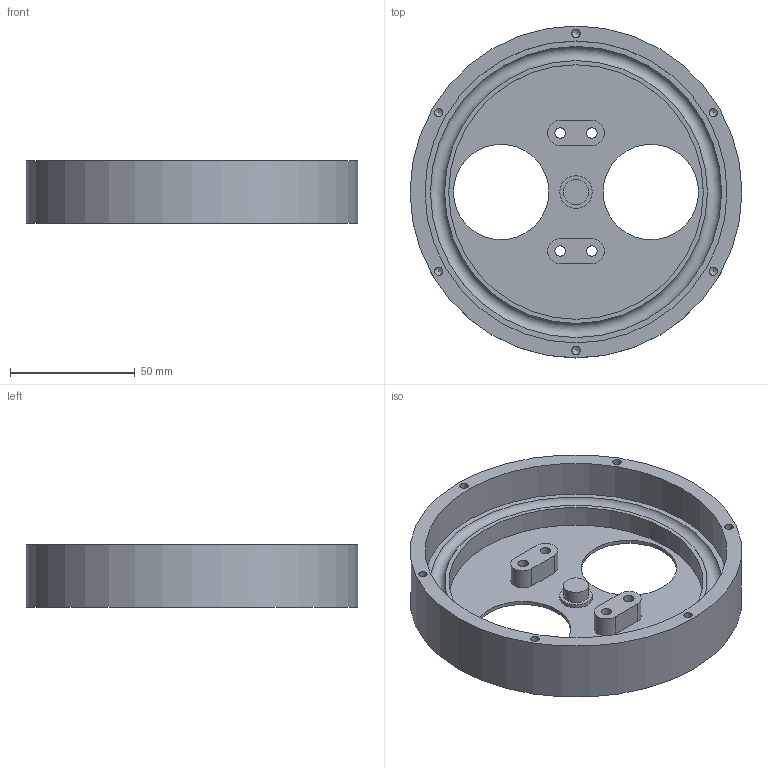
import cadquery as cq
import math

outer_diameter = 133.0
housing_height = 25.0
upper_bore_diameter = 121.0
lower_bore_diameter = 102.0
ledge_height = 10.0
floor_thickness = 1.5

groove_circle_radius = 55.5
groove_section_radius = 3.0
groove_depth = 2.0

rim_hole_count = 6
rim_hole_diameter = 3.33
rim_hole_circle_radius = 63.5
rim_hole_depth = 10.0
drill_point_angle = 118.0
first_rim_hole_angle = 90.0

window_diameter = 38.2
window_offset = 30.0

block_width = 10.0
block_hole_spacing = 12.7
block_hole_diameter = 4.2
block_offset = 23.65
block_height = ledge_height - floor_thickness

pin_base_diameter = 13.0
pin_base_height = 1.5
pin_diameter = 10.0
pin_height = 6.5


def make_housing():
    """Round cup with a wide upper bore, a ledge and a narrower lower bore."""
    body = cq.Workplane("XY").circle(outer_diameter / 2).extrude(housing_height)
    upper_bore = (
        cq.Workplane("XY", origin=(0, 0, ledge_height))
        .circle(upper_bore_diameter / 2)
        .extrude(housing_height - ledge_height)
    )
    lower_bore = (
        cq.Workplane("XY", origin=(0, 0, floor_thickness))
        .circle(lower_bore_diameter / 2)
        .extrude(ledge_height - floor_thickness)
    )
    return body.cut(upper_bore).cut(lower_bore)


def make_ring_groove():
    """Torus sunk into the ledge, its section centre lying above the ledge surface."""
    section_centre_height = ledge_height + groove_section_radius - groove_depth
    return (
        cq.Workplane("XZ")
        .center(groove_circle_radius, section_centre_height)
        .circle(groove_section_radius)
        .revolve(360, (-groove_circle_radius, 0, 0), (-groove_circle_radius, 1, 0))
    )


def make_rim_hole(angle):
    """Drilled hole with a conical bottom, opening at the top of the rim."""
    radius = rim_hole_diameter / 2
    point_length = radius / math.tan(math.radians(drill_point_angle / 2))
    bottom = housing_height - rim_hole_depth
    hole = (
        cq.Workplane("XZ")
        .moveTo(0, housing_height)
        .lineTo(radius, housing_height)
        .lineTo(radius, bottom)
        .lineTo(0, bottom - point_length)
        .close()
        .revolve(360, (0, 0, 0), (0, 1, 0))
    )
    return hole.translate((rim_hole_circle_radius, 0, 0)).rotate((0, 0, 0), (0, 0, 1), angle)


def make_windows():
    """Two large round openings through the floor, either side of the pin."""
    return (
        cq.Workplane("XY")
        .pushPoints([(-window_offset, 0), (window_offset, 0)])
        .circle(window_diameter / 2)
        .extrude(floor_thickness)
    )


def make_block(y):
    """Round-ended block rising from the floor."""
    return (
        cq.Workplane("XY")
        .center(0, y)
        .slot2D(block_hole_spacing + block_width, block_width)
        .extrude(floor_thickness + block_height)
    )


def make_block_holes(y):
    """Pair of holes through a block and the floor below it."""
    half_spacing = block_hole_spacing / 2
    return (
        cq.Workplane("XY")
        .pushPoints([(-half_spacing, y), (half_spacing, y)])
        .circle(block_hole_diameter / 2)
        .extrude(floor_thickness + block_height)
    )


def make_pin():
    """Centre pin with a wider base collar."""
    base = cq.Workplane("XY").circle(pin_base_diameter / 2).extrude(floor_thickness + pin_base_height)
    shaft = cq.Workplane("XY").circle(pin_diameter / 2).extrude(floor_thickness + pin_height)
    return base.union(shaft)


result = make_housing().cut(make_ring_groove()).cut(make_windows()).union(make_pin())
for block_y in (-block_offset, block_offset):
    result = result.union(make_block(block_y)).cut(make_block_holes(block_y))
for hole_index in range(rim_hole_count):
    hole_angle = first_rim_hole_angle + hole_index * 360 / rim_hole_count
    result = result.cut(make_rim_hole(hole_angle))